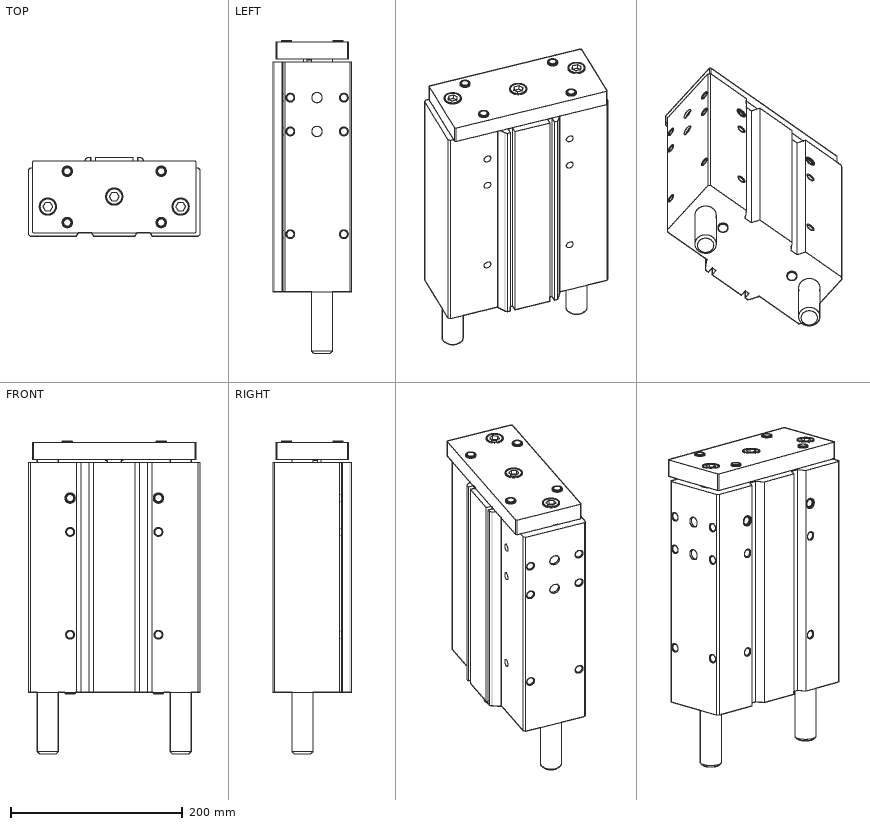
import cadquery as cq
import math

housing_width = 200.0
housing_depth = 92.0
housing_height = 268.0
front_y = -housing_depth / 2
pad_back_y = housing_depth / 2
shoulder_back_y = 34.0
corner_chamfer = 2.2

groove_inner_x = 24.0
groove_outer_x = 44.2
groove_wall_run = 5.5
groove_depth = 9.0

pad_foot_half_width = 38.7
pad_foot_height = 1.0
pad_half_width = 33.2
pad_chamfer = 2.0
slot_inner_x = 22.0
slot_outer_x = 27.5
slot_depth = 7.3

tapped_diameter = 8.5
tapped_mouth_diameter = 10.2
hole_chamfer = (tapped_mouth_diameter - tapped_diameter) / 2
drill_point_angle = 30
row_heights = (67.2, 187.0, 226.5)
front_hole_x = 51.5
spotface_diameter = 12.0
spotface_depth = 1.0
side_hole_ys = (-37.0, 25.5)
side_hole_depth = 11.0
port_diameter = 12.0
port_depth = 2.5
port_y = -5.5
boss_diameter = 12.0
boss_height = 2.0
boss_chamfer = 0.7

guide_diameter = 25.0
guide_half_spacing = 77.5
guide_y = -11.5
guide_overhang = 72.0
guide_end_chamfer = 3.0
piston_rod_diameter = 20.0
piston_rod_y = 0.5
piston_rod_depth = 146.0
piston_flat_width = 16.8
piston_flat_height = 2.2

plate_width = 190.5
plate_depth = 84.0
plate_thickness = 20.0
plate_gap = 3.3
plate_corner_chamfer = 1.0
plate_boss_half_spacing = 54.8
plate_boss_ys = (-30.0, 30.0)
plate_bottom_z = housing_height + plate_gap
plate_top_z = plate_bottom_z + plate_thickness

screw_head_diameter = 20.0
screw_head_height = 10.0
screw_head_chamfer = 1.0
screw_shank_diameter = 12.0
screw_reach = 10.0
screw_shank_end_z = plate_bottom_z - screw_reach
socket_across_flats = 10.0
socket_depth = 5.0

guide_centers = [(-guide_half_spacing, guide_y), (guide_half_spacing, guide_y)]
piston_center = (0, piston_rod_y)
screw_centers = guide_centers + [piston_center]

front_plane = cq.Plane((0, front_y, 0), xDir=(1, 0, 0), normal=(0, -1, 0))
spotface_plane = cq.Plane((0, front_y + spotface_depth, 0), xDir=(1, 0, 0), normal=(0, -1, 0))
side_plane = cq.Plane((-housing_width / 2, 0, 0), xDir=(0, -1, 0), normal=(-1, 0, 0))
bottom_plane = cq.Plane((0, 0, 0), xDir=(1, 0, 0), normal=(0, 0, -1))


def level(z):
    """Horizontal work plane at height z."""
    return cq.Workplane("XY", origin=(0, 0, z))


def tapped_hole(depth, drill_point=False):
    """Cutter for a chamfered hole that goes down from the origin, with an optional drill point."""
    bore = tapped_diameter / 2
    mouth = tapped_mouth_diameter / 2
    tip = depth + bore * math.tan(math.radians(drill_point_angle)) if drill_point else depth
    return (
        cq.Workplane("XZ")
        .polyline([(0, 0), (mouth, 0), (bore, -hole_chamfer), (bore, -depth), (0, -tip)])
        .close()
        .revolve(360, (0, 0, 0), (0, 1, 0))
        .val()
    )


def cut_holes(body, cutter, plane, points):
    """Cut a copy of a hole cutter into a body at each point of a plane."""
    for x, y in points:
        place = plane.location * cq.Location(cq.Vector(x, y, 0))
        body = body.cut(cq.Workplane(cutter.moved(place)))
    return body


def housing_outline():
    half = housing_width / 2
    groove_floor_y = front_y + groove_depth
    pad_foot_y = shoulder_back_y + pad_foot_height
    slot_floor_y = pad_back_y - slot_depth
    right_half = [
        (groove_inner_x, front_y),
        (groove_inner_x + groove_wall_run, groove_floor_y),
        (groove_outer_x - groove_wall_run, groove_floor_y),
        (groove_outer_x, front_y),
        (half - corner_chamfer, front_y),
        (half, front_y + corner_chamfer),
        (half, shoulder_back_y - corner_chamfer),
        (half - corner_chamfer, shoulder_back_y),
        (pad_foot_half_width, shoulder_back_y),
        (pad_foot_half_width, pad_foot_y),
        (pad_half_width, pad_back_y - pad_chamfer),
        (pad_half_width - pad_chamfer, pad_back_y),
        (slot_outer_x, pad_back_y),
        (slot_outer_x, slot_floor_y),
        (slot_inner_x, slot_floor_y),
        (slot_inner_x, pad_back_y),
    ]
    left_half = [(-x, y) for x, y in reversed(right_half)]
    return right_half + left_half


def make_housing():
    body = cq.Workplane("XY").polyline(housing_outline()).close().extrude(housing_height)

    boss_points = [(-front_hole_x, -guide_y), (front_hole_x, -guide_y)]
    bosses = cq.Workplane(bottom_plane).pushPoints(boss_points).circle(boss_diameter / 2).extrude(boss_height)
    body = body.union(bosses.faces("<Z").chamfer(boss_chamfer))

    front_points = [(x, z) for x in (-front_hole_x, front_hole_x) for z in row_heights[:-1]]
    top_points = [(x, row_heights[-1]) for x in (-front_hole_x, front_hole_x)]
    spotfaces = cq.Workplane(front_plane).pushPoints(top_points).circle(spotface_diameter / 2)
    through_hole = tapped_hole(housing_depth)
    body = cut_holes(body, through_hole, front_plane, front_points)
    body = body.cut(spotfaces.extrude(-spotface_depth))
    body = cut_holes(body, through_hole, spotface_plane, top_points)

    side_points = [(-y, z) for y in side_hole_ys for z in row_heights]
    body = cut_holes(body, tapped_hole(side_hole_depth, drill_point=True), side_plane, side_points)
    port_points = [(-port_y, z) for z in row_heights[1:]]
    body = body.cut(cq.Workplane(side_plane).pushPoints(port_points).circle(port_diameter / 2).extrude(-port_depth))

    body = body.cut(level(0).pushPoints(guide_centers).circle(guide_diameter / 2).extrude(housing_height))
    piston_bore = level(housing_height).center(*piston_center).circle(piston_rod_diameter / 2)
    return body.cut(piston_bore.extrude(-piston_rod_depth))


def make_plate():
    plate = level(plate_bottom_z).rect(plate_width, plate_depth).extrude(plate_thickness)
    plate = plate.edges("|Z").chamfer(plate_corner_chamfer)

    boss_points = [(x, y) for x in (-plate_boss_half_spacing, plate_boss_half_spacing) for y in plate_boss_ys]
    bosses = level(plate_top_z).pushPoints(boss_points).circle(boss_diameter / 2).extrude(boss_height)
    plate = plate.union(bosses.faces(">Z").chamfer(boss_chamfer))
    holes = level(plate_bottom_z).pushPoints(boss_points).circle(tapped_diameter / 2)
    plate = plate.cut(holes.extrude(plate_thickness + boss_height))

    heads = level(plate_top_z).pushPoints(screw_centers).circle(screw_head_diameter / 2)
    shanks = level(plate_top_z).pushPoints(screw_centers).circle(screw_shank_diameter / 2)
    return plate.cut(heads.extrude(-screw_head_height)).cut(shanks.extrude(-plate_thickness))


def cut_screw_hole(rod, center):
    """Hole in the top of a rod that takes the shank of its screw."""
    hole = level(plate_bottom_z).center(*center).circle(screw_shank_diameter / 2)
    return rod.cut(hole.extrude(-screw_reach))


def make_guide_rod(center):
    rod = level(-guide_overhang).center(*center).circle(guide_diameter / 2)
    rod = rod.extrude(plate_bottom_z + guide_overhang).faces("<Z").chamfer(guide_end_chamfer)
    return cut_screw_hole(rod, center)


def make_piston_rod():
    length = plate_gap + piston_rod_depth
    rod = level(plate_bottom_z - length).center(*piston_center).circle(piston_rod_diameter / 2).extrude(length)

    flats = level(housing_height).center(*piston_center).rect(piston_rod_diameter, piston_rod_diameter)
    kept = level(housing_height).center(*piston_center).rect(piston_flat_width, piston_rod_diameter)
    rod = rod.cut(flats.extrude(piston_flat_height).cut(kept.extrude(piston_flat_height)))
    return cut_screw_hole(rod, piston_center)


def make_screw(center):
    head = level(plate_top_z).center(*center).circle(screw_head_diameter / 2).extrude(-screw_head_height)
    head = head.faces(">Z").chamfer(screw_head_chamfer)
    shank = level(screw_shank_end_z).center(*center).circle(screw_shank_diameter / 2)
    shank_length = plate_top_z - screw_head_height - screw_shank_end_z
    socket_across_corners = socket_across_flats / math.cos(math.pi / 6)
    socket = level(plate_top_z).center(*center).polygon(6, socket_across_corners).extrude(-socket_depth)
    return head.union(shank.extrude(shank_length)).cut(socket)


housing = make_housing()
plate = make_plate()
piston_rod = make_piston_rod()
guide_rods = [make_guide_rod(center) for center in guide_centers]
screws = [make_screw(center) for center in screw_centers]

result = cq.Compound.makeCompound(
    [
        housing.val(),
        plate.val(),
        piston_rod.val(),
        *[rod.val() for rod in guide_rods],
        *[screw.val() for screw in screws],
    ]
)